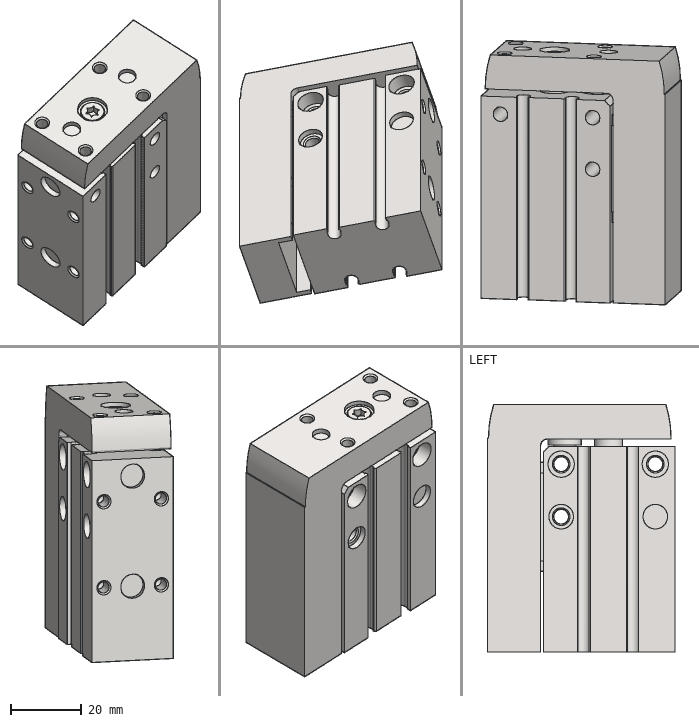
import cadquery as cq
import math

TOTAL_DEPTH = 53.5
TOTAL_HEIGHT = 70.6

HOUSING_WIDTH = 24.0
HOUSING_DEPTH = 37.55
HOUSING_HEIGHT = 58.7
HOUSING_CHAMFER = 1.6

SLOT_CENTRES_Y = (26.05, 11.9)
SLOT_RADIUS = 1.9
SLOT_ARC_DEPTH = 2.55
SLOT_LIP_DEPTH = 1.2
MOUTH_BACK = 1.6
MOUTH_FRONT = 1.55
OUTER_BEVEL = 0.15
RIB_BACK_BEVEL = 0.4
RIB_FRONT_BEVEL = 0.3
SIDE_RELIEF = 0.35

SIDE_HOLES_BACK_Y = 32.5
SIDE_HOLES_FRONT_Y = 5.65
UPPER_HOLES_Z = 53.6
LOWER_HOLES_Z = 38.6
SIDE_DRILL_DIAMETER = 4.2
SIDE_DRILL_MOUTH = 5.0
SCREW_HEAD_BORE = 7.5
SCREW_HEAD_DEPTH = 4.5
LOCATING_BORE = 7.0
LOCATING_DEPTH = 1.8

FRONT_LOCATING_Z = (UPPER_HOLES_Z, 21.6)
FRONT_THREAD_X = 8.5
FRONT_THREAD_Z = (46.6, 21.6)
FRONT_THREAD_DEPTH = 6.35
THREAD_DIAMETER = 3.25
THREAD_MOUTH = 4.2
DRILL_POINT_ANGLE = 118.0

GUIDE_CAP_WIDTH = 19.2
GUIDE_BOTTOM_Z = 26.05
GUIDE_TOP_Z = 51.1
GUIDE_CAP_LENGTH = 3.05

BUFFER_Y = 31.5
BUFFER_DIAMETER = 9.5
BUFFER_NECK_DIAMETER = 6.5
BUFFER_NECK_HEIGHT = 0.35

SLIDE_WIDTH = 23.3
SLIDE_FRONT_Y = 1.1
SLIDE_LEG_Y = 38.35
SLIDE_UNDERSIDE_Z = 60.7
SLIDE_INNER_RADIUS = 2.0
END_LAND = 0.35
CURVE_START_Z = SLIDE_UNDERSIDE_Z + END_LAND
PLATE_BACK_Y = 53.2
END_LEAN = 1.5

GROOVE_WIDTH = 20.2
GROOVE_DEPTH = 4.0
GROOVE_TOP_Z = 60.0
GROOVE_CORNER_RADIUS = 4.25

TOP_THREAD_X = 8.0
TOP_THREAD_Y = (32.05, 6.1)
TOP_LOCATING_Y = (34.65, 9.7)
TOP_LOCATING_BORE = 5.0
TOP_LOCATING_DEPTH = 1.5

ROD_Y = 19.0
SCREW_RECESS_DIAMETER = 8.5
ROD_DIAMETER = 8.1
SCREW_RECESS_DEPTH = 1.3
SCREW_BASE_DIAMETER = 7.0
SCREW_TOP_DIAMETER = 6.5
SCREW_HEIGHT = 0.3
STAR_TIP_RADIUS = 2.05
STAR_ROOT_RADIUS = 1.4
STAR_DEPTH = 2.1
STAR_POINTS = 6


def cylinder(diameter, depth, start, direction):
    """Cylinder from a start point along a direction."""
    solid = cq.Solid.makeCylinder(diameter / 2, depth, cq.Vector(*start), cq.Vector(*direction))
    return cq.Workplane(obj=solid)


def cone(start_diameter, end_diameter, depth, start, direction):
    """Cone or frustum from a start point along a direction."""
    start_radius = start_diameter / 2
    end_radius = end_diameter / 2
    solid = cq.Solid.makeCone(start_radius, end_radius, depth, cq.Vector(*start), cq.Vector(*direction))
    return cq.Workplane(obj=solid)


def countersunk_drill(diameter, mouth, depth, start, direction):
    """Drill with a 45 degree countersink at its start."""
    sink = cone(mouth, diameter, (mouth - diameter) / 2, start, direction)
    return cylinder(diameter, depth, start, direction).union(sink)


def sensor_slot(side, centre_y):
    """Undercut slot: a narrow mouth opening into a wider channel with a round floor."""
    face_x = side * HOUSING_WIDTH / 2
    lip_x = face_x - side * SLOT_LIP_DEPTH
    arc_x = face_x - side * SLOT_ARC_DEPTH
    outline = (
        cq.Workplane("XY")
        .moveTo(face_x, centre_y - MOUTH_FRONT)
        .lineTo(face_x, centre_y + MOUTH_BACK)
        .lineTo(lip_x, centre_y + MOUTH_BACK)
        .lineTo(lip_x, centre_y + SLOT_RADIUS)
        .lineTo(arc_x, centre_y + SLOT_RADIUS)
        .threePointArc((arc_x - side * SLOT_RADIUS, centre_y), (arc_x, centre_y - SLOT_RADIUS))
        .lineTo(lip_x, centre_y - SLOT_RADIUS)
        .lineTo(lip_x, centre_y - MOUTH_FRONT)
        .close()
    )
    return outline.extrude(HOUSING_HEIGHT)


def edge_bevel(face_x, edge_y, size):
    """Square bar set corner-on that bevels a vertical edge at 45 degrees."""
    return (
        cq.Workplane("XY")
        .polyline(
            [(face_x - size, edge_y), (face_x, edge_y + size), (face_x + size, edge_y), (face_x, edge_y - size)]
        )
        .close()
        .extrude(HOUSING_HEIGHT)
    )


def side_relief(side):
    """Cutter that sets back the rib between the two slots and bevels the slot edges on one side."""
    back_slot_y, front_slot_y = SLOT_CENTRES_Y
    face_x = side * HOUSING_WIDTH / 2
    rib_x = face_x - side * SIDE_RELIEF
    relief = (
        cq.Workplane("XY")
        .rect(2 * SIDE_RELIEF, back_slot_y - front_slot_y)
        .extrude(HOUSING_HEIGHT)
        .translate((face_x, (back_slot_y + front_slot_y) / 2, 0))
    )
    return (
        relief.union(edge_bevel(face_x, back_slot_y + MOUTH_BACK, OUTER_BEVEL))
        .union(edge_bevel(rib_x, back_slot_y - MOUTH_FRONT, RIB_BACK_BEVEL))
        .union(edge_bevel(rib_x, front_slot_y + MOUTH_BACK, RIB_FRONT_BEVEL))
    )


def side_hole(y, z, bore, bore_depth):
    """Through hole along X with a flat-bottomed bore in the -X face."""
    face_x = -HOUSING_WIDTH / 2
    drill_start = (face_x + bore_depth, y, z)
    drill_depth = HOUSING_WIDTH - bore_depth
    drill = countersunk_drill(SIDE_DRILL_DIAMETER, SIDE_DRILL_MOUTH, drill_depth, drill_start, (1, 0, 0))
    return drill.union(cylinder(bore, bore_depth, (face_x, y, z), (1, 0, 0)))


def front_thread(x, z):
    """Blind threaded hole with a conical drill point."""
    point = THREAD_DIAMETER / 2 / math.tan(math.radians(DRILL_POINT_ANGLE / 2))
    drill = countersunk_drill(THREAD_DIAMETER, THREAD_MOUTH, FRONT_THREAD_DEPTH, (x, 0, z), (0, 1, 0))
    return drill.union(cone(THREAD_DIAMETER, 0, point, (x, FRONT_THREAD_DEPTH, z), (0, 1, 0)))


def guide_rail():
    """Guide rail bridging the gap into the slide's groove, with a narrower cap at each end."""
    reach = SLIDE_LEG_Y + GROOVE_DEPTH - HOUSING_DEPTH
    length = GUIDE_TOP_Z - GUIDE_BOTTOM_Z
    rail = cq.Workplane("XY").box(GROOVE_WIDTH, reach, length)
    caps = cq.Workplane("XY").box(GUIDE_CAP_WIDTH, reach, length + 2 * GUIDE_CAP_LENGTH)
    centre = (0, HOUSING_DEPTH + reach / 2, GUIDE_BOTTOM_Z + length / 2)
    return rail.union(caps).translate(centre)


def stop_buffer():
    """Buffer head on a short neck, reaching up to the slide underside."""
    head_z = HOUSING_HEIGHT + BUFFER_NECK_HEIGHT
    neck = cylinder(BUFFER_NECK_DIAMETER, BUFFER_NECK_HEIGHT, (0, BUFFER_Y, HOUSING_HEIGHT), (0, 0, 1))
    head = cylinder(BUFFER_DIAMETER, SLIDE_UNDERSIDE_Z - head_z, (0, BUFFER_Y, head_z), (0, 0, 1))
    return neck.union(head)


def make_housing():
    body = (
        cq.Workplane("XY")
        .box(HOUSING_WIDTH, HOUSING_DEPTH, HOUSING_HEIGHT, centered=(True, False, False))
        .edges(">Y and >Z")
        .chamfer(HOUSING_CHAMFER)
    )
    for side in (-1, 1):
        body = body.cut(side_relief(side))
        for centre_y in SLOT_CENTRES_Y:
            body = body.cut(sensor_slot(side, centre_y))

    for y in (SIDE_HOLES_BACK_Y, SIDE_HOLES_FRONT_Y):
        body = body.cut(side_hole(y, UPPER_HOLES_Z, SCREW_HEAD_BORE, SCREW_HEAD_DEPTH))
    body = body.cut(side_hole(SIDE_HOLES_BACK_Y, LOWER_HOLES_Z, LOCATING_BORE, LOCATING_DEPTH))
    blind_start = (-HOUSING_WIDTH / 2, SIDE_HOLES_FRONT_Y, LOWER_HOLES_Z)
    body = body.cut(cylinder(LOCATING_BORE, LOCATING_DEPTH, blind_start, (1, 0, 0)))

    for z in FRONT_LOCATING_Z:
        body = body.cut(cylinder(LOCATING_BORE, LOCATING_DEPTH, (0, 0, z), (0, 1, 0)))
    for z in FRONT_THREAD_Z:
        for x in (-FRONT_THREAD_X, FRONT_THREAD_X):
            body = body.cut(front_thread(x, z))

    return body.union(guide_rail()).union(stop_buffer())


def slide_profile():
    """L-shaped YZ section with bulged ends on the top plate and a rounded inner corner."""
    rise = TOTAL_HEIGHT - CURVE_START_Z
    bulge_radius = (END_LEAN**2 + rise**2) / (2 * END_LEAN)
    profile = (
        cq.Workplane("YZ")
        .moveTo(TOTAL_DEPTH, 0)
        .lineTo(TOTAL_DEPTH, CURVE_START_Z)
        .lineTo(PLATE_BACK_Y, CURVE_START_Z)
        .radiusArc((PLATE_BACK_Y - END_LEAN, TOTAL_HEIGHT), -bulge_radius)
        .lineTo(SLIDE_FRONT_Y + END_LEAN, TOTAL_HEIGHT)
        .radiusArc((SLIDE_FRONT_Y, CURVE_START_Z), -bulge_radius)
        .lineTo(SLIDE_FRONT_Y, SLIDE_UNDERSIDE_Z)
        .lineTo(SLIDE_LEG_Y - SLIDE_INNER_RADIUS, SLIDE_UNDERSIDE_Z)
        .radiusArc((SLIDE_LEG_Y, SLIDE_UNDERSIDE_Z - SLIDE_INNER_RADIUS), SLIDE_INNER_RADIUS)
        .lineTo(SLIDE_LEG_Y, 0)
        .close()
    )
    return profile.extrude(SLIDE_WIDTH / 2, both=True)


def guide_groove():
    """Groove for the guide rail, open at the bottom and round-cornered at its top."""
    start_y = SLIDE_LEG_Y - SLIDE_INNER_RADIUS
    return (
        cq.Workplane("XY")
        .box(GROOVE_WIDTH, GROOVE_DEPTH + SLIDE_INNER_RADIUS, GROOVE_TOP_Z, centered=(True, False, False))
        .edges("|Y and >Z")
        .fillet(GROOVE_CORNER_RADIUS)
        .translate((0, start_y, 0))
    )


def star_socket(base_z):
    """Six-pointed driver socket with hollow arcs between its tips."""
    step = math.pi / STAR_POINTS

    def point(radius, index):
        return (radius * math.cos(index * step), radius * math.sin(index * step))

    outline = cq.Workplane("XY").moveTo(*point(STAR_TIP_RADIUS, 0))
    for tip in range(STAR_POINTS):
        root = point(STAR_ROOT_RADIUS, 2 * tip + 1)
        next_tip = point(STAR_TIP_RADIUS, 2 * tip + 2)
        outline = outline.threePointArc(root, next_tip)
    return outline.close().extrude(STAR_DEPTH).translate((0, ROD_Y, base_z))


def make_slide():
    slide = slide_profile().cut(guide_groove())

    plate_thickness = TOTAL_HEIGHT - SLIDE_UNDERSIDE_Z
    for y in TOP_THREAD_Y:
        for x in (-TOP_THREAD_X, TOP_THREAD_X):
            start = (x, y, TOTAL_HEIGHT)
            slide = slide.cut(
                countersunk_drill(THREAD_DIAMETER, THREAD_MOUTH, plate_thickness, start, (0, 0, -1))
            )

    for y in TOP_LOCATING_Y:
        slide = slide.cut(cylinder(TOP_LOCATING_BORE, TOP_LOCATING_DEPTH, (0, y, TOTAL_HEIGHT), (0, 0, -1)))

    floor_z = TOTAL_HEIGHT - SCREW_RECESS_DEPTH
    slide = slide.cut(cylinder(SCREW_RECESS_DIAMETER, SCREW_RECESS_DEPTH, (0, ROD_Y, floor_z), (0, 0, 1)))
    slide = slide.union(
        cone(SCREW_BASE_DIAMETER, SCREW_TOP_DIAMETER, SCREW_HEIGHT, (0, ROD_Y, floor_z), (0, 0, 1))
    )
    slide = slide.cut(star_socket(floor_z + SCREW_HEIGHT - STAR_DEPTH))

    rod_length = SLIDE_UNDERSIDE_Z - HOUSING_HEIGHT
    return slide.union(cylinder(ROD_DIAMETER, rod_length, (0, ROD_Y, HOUSING_HEIGHT), (0, 0, 1)))


housing = make_housing()
slide = make_slide()
result = cq.Compound.makeCompound([housing.val(), slide.val()])